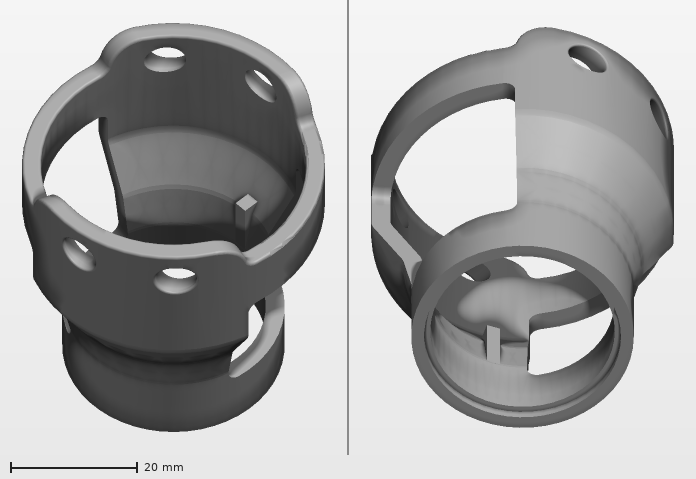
import cadquery as cq
import math

height = 52.0
top_diameter = 48.0
top_radius = top_diameter / 2
waist_radius = 19.0
base_radius = 17.65
wall = 3.0

shoulder_z = 28.0
waist_z = 18.95
base_z = 12.25
bend_radius = 2.7

recess_step = 1.0
recess_depth = 1.5

opening_half_angle = 41.3
window_bottom_z = 10.0
window_top_z = 36.0
window_fillet = 2.0
rim_notch_depth = 6.0
notch_fillet = 2.0
rim_fillet = 0.5

hole_diameter = 6.2
hole_offset = 8.0
hole_z = 46.2
hole_fillet = 0.3

key_angle = 62.5
key_width = 2.2
key_outer_radius = 17.3
key_top_z = 22.45

tool_reach = 31.2
tool_inner_x = 7.8

bore_radius = base_radius - wall
recess_radius = bore_radius + recess_step
mouth_radius = top_radius - wall
waist_slope = math.atan2(waist_radius - base_radius, waist_z - base_z)
shoulder_slope = math.atan2(top_radius - waist_radius, shoulder_z - waist_z)


def inner_bend(outer_radius, z, slope_below, slope_above):
    """Inner corner of a bend in a wall of constant thickness."""
    middle_slope = (slope_below + slope_above) / 2
    half_turn = (slope_above - slope_below) / 2
    reach = wall / math.cos(half_turn)
    return (outer_radius - reach * math.cos(middle_slope), z + reach * math.sin(middle_slope))


inner_base = inner_bend(base_radius, base_z, 0, waist_slope)
inner_waist = inner_bend(waist_radius, waist_z, waist_slope, shoulder_slope)
inner_shoulder = inner_bend(top_radius, shoulder_z, shoulder_slope, 0)


def make_shell():
    """Revolved sleeve with rounded bends and a recess at the foot of its bore."""
    shell = (
        cq.Workplane("XZ")
        .moveTo(base_radius, 0)
        .lineTo(base_radius, base_z)
        .lineTo(waist_radius, waist_z)
        .lineTo(top_radius, shoulder_z)
        .lineTo(top_radius, height)
        .lineTo(mouth_radius, height)
        .lineTo(*inner_shoulder)
        .lineTo(*inner_waist)
        .lineTo(*inner_base)
        .lineTo(bore_radius, recess_depth)
        .lineTo(recess_radius, recess_depth)
        .lineTo(recess_radius, 0)
        .close()
        .revolve(360, (0, 0, 0), (0, 1, 0))
    )
    bends = cq.selectors.BoxSelector(
        (-tool_reach, -tool_reach, window_bottom_z),
        (tool_reach, tool_reach, window_top_z),
        boundingbox=True,
    )
    return shell.edges(bends).edges("%CIRCLE").fillet(bend_radius)


def sector(inset, bottom_z, top_z):
    """Wedge on the +X side; its flanks lie inside the opening planes by inset."""
    angle = math.radians(opening_half_angle)

    def flank_y(x):
        return x * math.tan(angle) - inset / math.cos(angle)

    near_y = flank_y(tool_inner_x)
    far_y = flank_y(tool_reach)
    corners = [
        (tool_inner_x, -near_y),
        (tool_reach, -far_y),
        (tool_reach, far_y),
        (tool_inner_x, near_y),
    ]
    return (
        cq.Workplane("XY")
        .workplane(offset=bottom_z)
        .polyline(corners)
        .close()
        .extrude(top_z - bottom_z)
    )


def on_both_sides(tool):
    """The tool together with its mirror image on the -X side."""
    return tool.union(tool.mirror("YZ"))


def make_windows():
    """Windows through both X sides, with rounded corners."""
    window = sector(0, window_bottom_z, window_top_z)
    flank_edges = window.faces("<Z or >Z").edges("not |Y")
    return on_both_sides(flank_edges.fillet(window_fillet))


def make_rim_notches():
    """Notches whose ends rise in an S: a small hollow fillet, then a large round."""
    floor_z = height - rim_notch_depth
    round_radius = rim_notch_depth
    centre_distance = round_radius + notch_fillet

    hollow_start = round_radius - math.sqrt(centre_distance**2 - notch_fillet**2)

    meet_angle = math.asin(notch_fillet / centre_distance)
    meet = (
        round_radius - round_radius * math.cos(meet_angle),
        floor_z + round_radius * math.sin(meet_angle),
    )
    hollow_turn = (math.pi / 2 - meet_angle) / 2
    hollow_mid = (
        hollow_start + notch_fillet * math.sin(hollow_turn),
        floor_z + notch_fillet * (1 - math.cos(hollow_turn)),
    )
    round_mid_angle = (meet_angle + math.pi / 2) / 2
    round_mid = (
        round_radius - round_radius * math.cos(round_mid_angle),
        floor_z + round_radius * math.sin(round_mid_angle),
    )
    notch_end = (
        cq.Workplane("YZ")
        .workplane(offset=tool_inner_x)
        .moveTo(hollow_start, floor_z)
        .threePointArc(hollow_mid, meet)
        .threePointArc(round_mid, (round_radius, height))
        .lineTo(hollow_start, height)
        .close()
        .extrude(tool_reach - tool_inner_x)
        .rotate((0, 0, 0), (0, 0, 1), opening_half_angle)
    )
    notch = sector(-hollow_start, floor_z, height).union(notch_end).union(notch_end.mirror("XZ"))
    return on_both_sides(notch)


def round_rim(body):
    """Round the inner and outer edges of the wavy upper rim."""
    floor_z = height - rim_notch_depth
    rim = cq.selectors.BoxSelector(
        (-tool_reach, -tool_reach, floor_z - rim_fillet), (tool_reach, tool_reach, height + rim_fillet)
    )
    return body.edges(rim).edges("not %LINE").fillet(rim_fillet)


def drill_holes(body):
    """Two holes along Y through both tall sides, rounded on the outside."""
    holes = (
        cq.Workplane("XZ")
        .pushPoints([(-hole_offset, hole_z), (hole_offset, hole_z)])
        .circle(hole_diameter / 2)
        .extrude(tool_reach, both=True)
    )
    body = body.cut(holes)
    for side in (-1, 1):
        for x in (-hole_offset, hole_offset):
            mouth = cq.selectors.NearestToPointSelector((x, side * tool_reach, hole_z))
            body = body.edges(mouth).fillet(hole_fillet)
    return body


def make_keys():
    """Two opposite keys that rise from the bore and run into the sloping wall."""
    bottom_z = inner_base[1]
    key = (
        cq.Workplane("XY")
        .workplane(offset=bottom_z)
        .center((bore_radius + key_outer_radius) / 2, 0)
        .rect(key_outer_radius - bore_radius, key_width)
        .extrude(key_top_z - bottom_z)
        .rotate((0, 0, 0), (0, 0, 1), key_angle)
    )
    return key.union(key.rotate((0, 0, 0), (0, 0, 1), 180))


body = round_rim(make_shell().cut(make_rim_notches()))
body = drill_holes(body.cut(make_windows()))
result = body.union(make_keys())